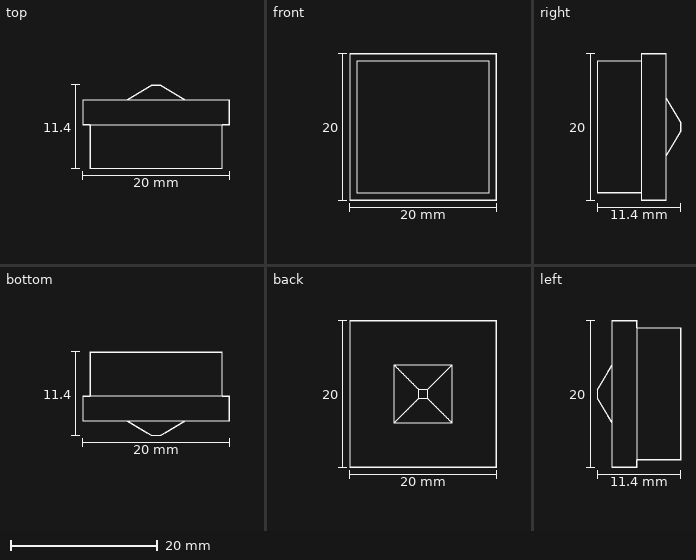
import cadquery as cq

plate_side = 20.0
plate_thickness = 3.4

block_inset = 1.0
block_side = plate_side - 2 * block_inset
block_depth = 6.0

pyramid_height = 2.0
pyramid_base_side = 7.9
pyramid_tip_side = 1.2

plate = cq.Workplane("XZ").rect(plate_side, plate_side).extrude(-plate_thickness)
block = cq.Workplane("XZ").rect(block_side, block_side).extrude(block_depth)

pyramid = (
    cq.Workplane("XZ", origin=(0, plate_thickness, 0))
    .rect(pyramid_base_side, pyramid_base_side)
    .workplane(offset=-pyramid_height)
    .rect(pyramid_tip_side, pyramid_tip_side)
    .loft(ruled=True)
)

result = plate.union(block).union(pyramid)